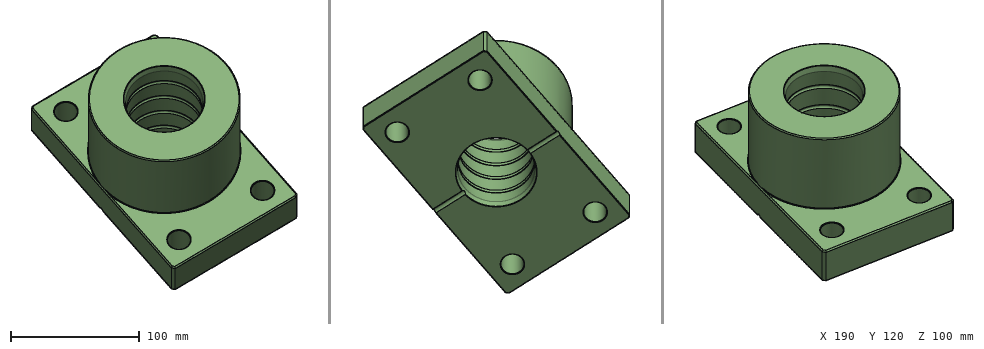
import cadquery as cq

plate_length = 190.0
plate_width = 120.0
plate_height = 30.0
corner_chamfer = 2.0
top_edge_chamfer = 1.1
bottom_edge_chamfer = 0.5

total_height = 100.0
boss_diameter = 118.0
boss_radius = boss_diameter / 2
boss_chamfer = 1.0
boss_fillet = 0.5

bore_radius = 30.0
mouth_radius = 31.7
mouth_depth = 5.0
mouth_chamfer = 0.4

bore_groove_count = 4
bore_groove_radius = 2.0
bore_groove_depth = 1.1
bore_groove_pitch = total_height / (bore_groove_count + 1)

hole_radius = 9.0
hole_spacing_x = 150.1
hole_spacing_y = 80.0
hole_chamfer = 0.5

bottom_groove_width = 4.0
bottom_groove_radius = bottom_groove_width / 2


def make_plate():
    plate = cq.Workplane("XY").box(
        plate_length, plate_width, plate_height, centered=(True, True, False)
    )
    plate = plate.edges("|Z").chamfer(corner_chamfer)
    plate = plate.faces(">Z").edges().chamfer(top_edge_chamfer)
    return plate.faces("<Z").edges().chamfer(bottom_edge_chamfer)


def make_boss():
    """Cylinder with a chamfered top edge."""
    boss = cq.Workplane("XY").circle(boss_radius).extrude(total_height)
    return boss.faces(">Z").edges().chamfer(boss_chamfer)


def make_boss_fillet():
    """Concave ring at the foot of the boss, cut off where the flat top of the plate ends."""
    ring = (
        cq.Workplane("XZ")
        .moveTo(boss_radius - boss_fillet, plate_height)
        .lineTo(boss_radius + boss_fillet, plate_height)
        .radiusArc((boss_radius, plate_height + boss_fillet), boss_fillet)
        .lineTo(boss_radius - boss_fillet, plate_height + boss_fillet)
        .close()
        .revolve(360, (0, 0), (0, 1))
    )
    flat_width = plate_width - 2 * top_edge_chamfer
    return ring.intersect(cq.Workplane("XY").box(plate_length, flat_width, 2 * total_height))


def make_bore():
    """Solid of the bore: tapered mouths plus a ring for each wall groove."""
    bore = (
        cq.Workplane("XZ")
        .lineTo(mouth_radius, 0)
        .lineTo(mouth_radius - mouth_chamfer, mouth_chamfer)
        .lineTo(bore_radius, mouth_depth)
        .lineTo(bore_radius, total_height - mouth_depth)
        .lineTo(mouth_radius - mouth_chamfer, total_height - mouth_chamfer)
        .lineTo(mouth_radius, total_height)
        .lineTo(0, total_height)
        .close()
        .revolve(360, (0, 0), (0, 1))
    )
    ring_radius = bore_radius + bore_groove_depth - bore_groove_radius
    for index in range(1, bore_groove_count + 1):
        ring = cq.Solid.makeTorus(
            ring_radius, bore_groove_radius, cq.Vector(0, 0, index * bore_groove_pitch)
        )
        bore = bore.union(cq.Workplane(ring))
    return bore


def make_mounting_holes():
    """Four through holes, lightly chamfered at both faces of the plate."""
    outer_radius = hole_radius + hole_chamfer
    hole = (
        cq.Workplane("XZ")
        .lineTo(outer_radius, 0)
        .lineTo(hole_radius, hole_chamfer)
        .lineTo(hole_radius, plate_height - hole_chamfer)
        .lineTo(outer_radius, plate_height)
        .lineTo(0, plate_height)
        .close()
        .revolve(360, (0, 0), (0, 1))
    )
    return (
        cq.Workplane("XY")
        .rect(hole_spacing_x, hole_spacing_y, forConstruction=True)
        .vertices()
        .eachpoint(hole.val(), combine=False)
    )


def make_bottom_groove():
    """Half-round bar lying along Y, with straight sides reaching below the plate."""
    return (
        cq.Workplane("XZ")
        .moveTo(-bottom_groove_radius, -bottom_groove_radius)
        .lineTo(-bottom_groove_radius, 0)
        .threePointArc((0, bottom_groove_radius), (bottom_groove_radius, 0))
        .lineTo(bottom_groove_radius, -bottom_groove_radius)
        .close()
        .extrude(plate_width, both=True)
    )


result = (
    make_plate()
    .union(make_boss())
    .union(make_boss_fillet())
    .cut(make_bore())
    .cut(make_mounting_holes())
    .cut(make_bottom_groove())
)